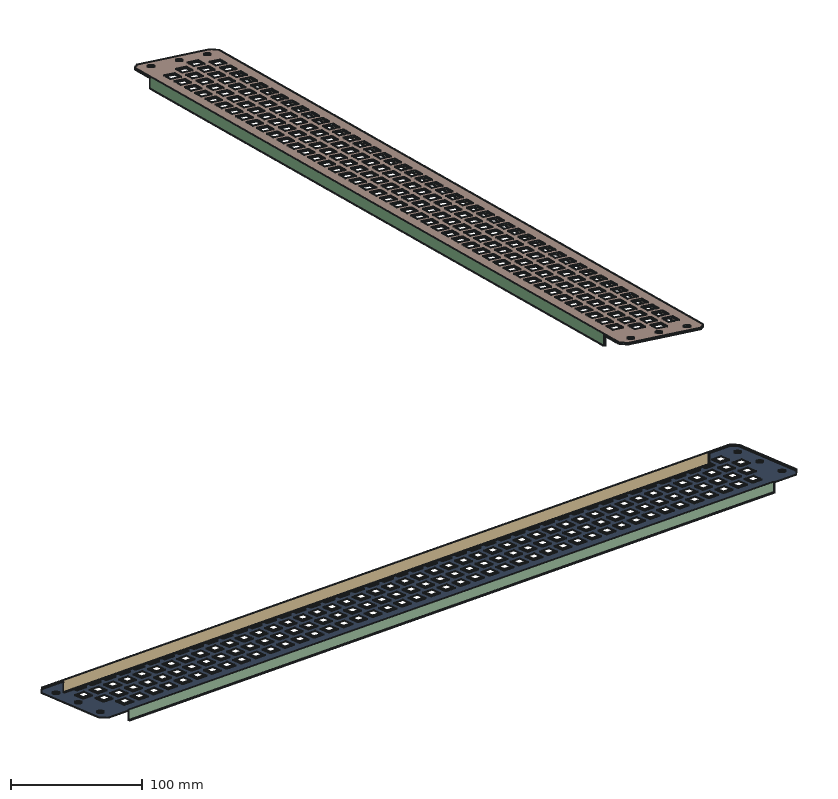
import cadquery as cq

length = 716.0
width = 75.0
height = 10.0
sheet = 1.5
corner_chamfer = 5.0

flange_length = 662.0

row_counts = (45, 46, 45, 44)
end_margin = 16.0
web = 5.5
perforated_length = length - 2 * end_margin
pitch = (perforated_length + web) / max(row_counts)
square = pitch - web

screw_diameter = 5.4
screw_line_distance = 699.5
screw_spacing = 25.0
screws_per_end = 3


def make_plate():
    """Flat plate with clipped corners and its top face at Z = 0."""
    plate = cq.Workplane("XY").box(length, width, sheet, centered=(True, True, False))
    return plate.edges("|Z").chamfer(corner_chamfer).translate((0, 0, -sheet))


def make_flange(side):
    """Downturned flange flush with the long edge on the given side (-1 or +1)."""
    flange = cq.Workplane("XY").box(flange_length, sheet, height, centered=(True, True, False))
    return flange.translate((0, side * (width - sheet) / 2, -height))


def make_perforations():
    """Square cutters, each row centred along the plate."""
    rows = len(row_counts)
    centres = []
    for row, count in enumerate(row_counts):
        y = ((rows - 1) / 2 - row) * pitch
        for column in range(count):
            x = (column - (count - 1) / 2) * pitch
            centres.append((x, y))
    return cq.Workplane("XY").pushPoints(centres).rect(square, square).extrude(-sheet)


def make_screw_holes():
    """Round cutters, one evenly spaced line near each end."""
    holes = cq.Workplane("XY").rarray(screw_line_distance, screw_spacing, 2, screws_per_end)
    return holes.circle(screw_diameter / 2).extrude(-sheet)


cover = make_plate()
for side in (-1, 1):
    cover = cover.union(make_flange(side))

result = cover.cut(make_perforations()).cut(make_screw_holes())